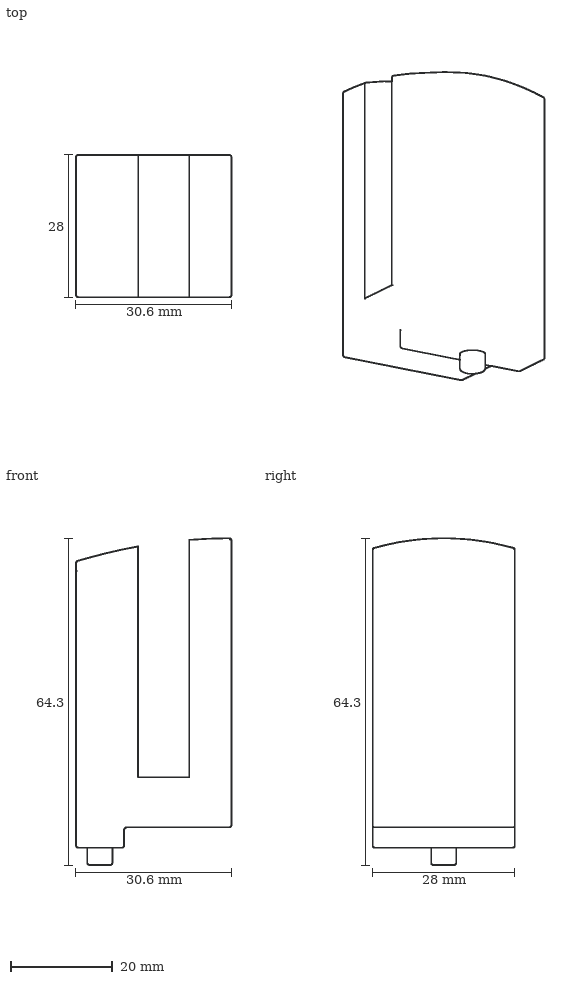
import cadquery as cq

LENGTH = 30.6
WIDTH = 28.0
CROWN_HEIGHT = 60.89
EDGE_RADIUS = 0.5

FOOT_LENGTH = 9.5
FOOT_HEIGHT = 4.0

SLOT_START = 12.25
SLOT_WIDTH = 10.0
SLOT_FLOOR = 13.9

CROWN_PEAK_X = LENGTH
CROWN_RADIUS_X = 105.0
CROWN_RADIUS_Y = 50.0
CROWN_AXIS_Z = CROWN_HEIGHT - CROWN_RADIUS_Y
CROWN_MARGIN = 5.0

PIN_DIAMETER = 5.0
PIN_LENGTH = 3.4
PIN_X = 4.7
PIN_TIP_RADIUS = 0.5


def sharp_block():
    """Uncrowned block with the foot, all edges still sharp."""
    return (
        cq.Workplane("XZ")
        .polyline([
            (0, 0),
            (FOOT_LENGTH, 0),
            (FOOT_LENGTH, FOOT_HEIGHT),
            (LENGTH, FOOT_HEIGHT),
            (LENGTH, CROWN_HEIGHT),
            (0, CROWN_HEIGHT),
        ])
        .close()
        .extrude(WIDTH / 2, both=True)
    )


def crown_z(x):
    """Height of the crown's centre line at position x."""
    offset = x - CROWN_PEAK_X
    return CROWN_HEIGHT - CROWN_RADIUS_X + (CROWN_RADIUS_X**2 - offset**2) ** 0.5


def crown_envelope():
    """Solid of revolution whose outer surface is the crown."""
    start = -CROWN_MARGIN
    end = LENGTH + CROWN_MARGIN
    middle = (start + end) / 2
    return (
        cq.Workplane("XZ")
        .moveTo(start, CROWN_AXIS_Z)
        .lineTo(start, crown_z(start))
        .threePointArc((middle, crown_z(middle)), (end, crown_z(end)))
        .lineTo(end, CROWN_AXIS_Z)
        .close()
        .revolve(360, (start, CROWN_AXIS_Z), (end, CROWN_AXIS_Z))
    )


def rounded_body():
    """Crowned block with every edge rounded, including the foot's inner corner."""
    block = sharp_block()
    below_axis = (
        cq.Workplane("XY")
        .box(LENGTH, WIDTH, CROWN_AXIS_Z, centered=(False, True, False))
    )
    crowned = block.intersect(crown_envelope().union(below_axis)).clean()
    return crowned.edges().fillet(EDGE_RADIUS)


def slot():
    """Through slot, open at the top and across the full width."""
    return (
        cq.Workplane("XY")
        .box(SLOT_WIDTH, WIDTH, CROWN_HEIGHT - SLOT_FLOOR, centered=(False, True, False))
        .translate((SLOT_START, 0, SLOT_FLOOR))
    )


def pin():
    """Locating pin hanging below the foot, rounded at its tip."""
    return (
        cq.Workplane("XY")
        .center(PIN_X, 0)
        .circle(PIN_DIAMETER / 2)
        .extrude(-PIN_LENGTH)
        .faces("<Z")
        .fillet(PIN_TIP_RADIUS)
    )


result = rounded_body().cut(slot()).union(pin())